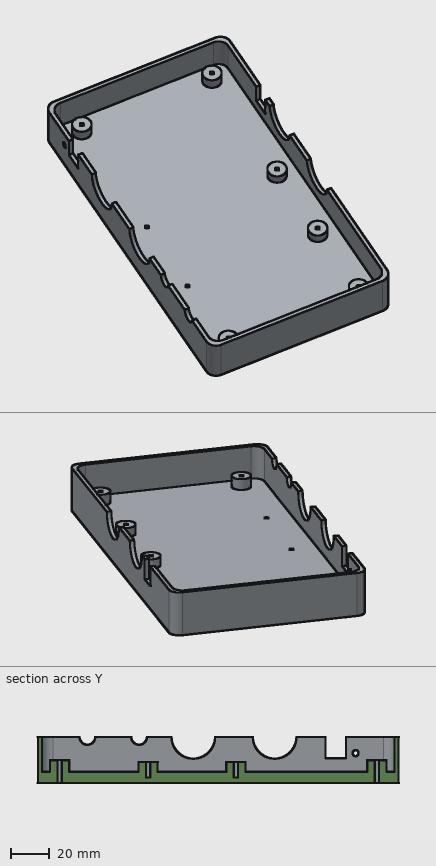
import cadquery as cq

LENGTH = 187.8
WIDTH = 106.0
HEIGHT = 24.0
CORNER_RADIUS = 5.6
WALL = 2.5
FLOOR = 6.0

POST_DIAMETER = 10.1
CORNER_POST_HEIGHT = 6.0
INNER_POST_HEIGHT = 5.0
SCREW_DIAMETER = 2.0
BLIND_HOLE_BOTTOM = 3.0
CORNER_POST_X = 82.5
BACK_ROW_Y = 39.3
FRONT_ROW_Y = -37.0
INNER_SCREW_X = (-9.2, 36.5)

JACK_RADIUS = 11.3
FRONT_JACK_X = (-29.3, 13.0)
BACK_JACK_X = (-28.0, 13.9)
BACK_JACK_RISE = 0.8
FRONT_SLOT_WIDTH = 10.5
BACK_SLOT_WIDTH = 10.1
SLOT_DEPTH = 11.0
FRONT_SLOT_X = -61.0
BACK_SLOT_X = -49.2
LED_RADIUS = 8.0 / 2
LED_X = (41.1, 68.0)
PIN_HOLE_RADIUS = 1.5
PIN_HOLE_X = -71.4
PIN_HOLE_Z = 15.5

CUT_LENGTH = 2 * WALL
FRONT_WALL_Y = -(WIDTH - WALL) / 2
BACK_WALL_Y = -FRONT_WALL_Y


def rounded_block(length, width, height, radius, bottom):
    block = cq.Workplane("XY").box(length, width, height, centered=(True, True, False))
    return block.edges("|Z").fillet(radius).translate((0, 0, bottom))


def round_wall_cut(x, wall_y, z, radius):
    start = cq.Vector(x, wall_y - CUT_LENGTH / 2, z)
    return cq.Workplane(cq.Solid.makeCylinder(radius, CUT_LENGTH, start, cq.Vector(0, 1, 0)))


def slot_cut(x, wall_y, width):
    slot = cq.Workplane("XY").box(width, CUT_LENGTH, 2 * SLOT_DEPTH)
    return slot.translate((x, wall_y, HEIGHT))


def tray():
    shell = rounded_block(LENGTH, WIDTH, HEIGHT, CORNER_RADIUS, 0)
    cavity = rounded_block(LENGTH - 2 * WALL, WIDTH - 2 * WALL, HEIGHT, CORNER_RADIUS, FLOOR)
    return shell.cut(cavity)


def posts(points, height):
    return cq.Workplane("XY").pushPoints(points).circle(POST_DIAMETER / 2).extrude(FLOOR + height)


def add_posts(body):
    corner_points = [(x, y) for x in (-CORNER_POST_X, CORNER_POST_X) for y in (FRONT_ROW_Y, BACK_ROW_Y)]
    inner_post_points = [(x, BACK_ROW_Y) for x in INNER_SCREW_X]
    blind_points = [(x, y) for x in INNER_SCREW_X for y in (FRONT_ROW_Y, BACK_ROW_Y)]
    body = body.union(posts(corner_points, CORNER_POST_HEIGHT))
    body = body.union(posts(inner_post_points, INNER_POST_HEIGHT))
    through_holes = cq.Workplane("XY").pushPoints(corner_points)
    body = body.cut(through_holes.circle(SCREW_DIAMETER / 2).extrude(HEIGHT))
    blind_holes = cq.Workplane("XY").workplane(offset=BLIND_HOLE_BOTTOM).pushPoints(blind_points)
    return body.cut(blind_holes.circle(SCREW_DIAMETER / 2).extrude(HEIGHT))


def cut_front_wall(body):
    for x in FRONT_JACK_X:
        body = body.cut(round_wall_cut(x, FRONT_WALL_Y, HEIGHT, JACK_RADIUS))
    for x in LED_X:
        body = body.cut(round_wall_cut(x, FRONT_WALL_Y, HEIGHT, LED_RADIUS))
    body = body.cut(round_wall_cut(PIN_HOLE_X, FRONT_WALL_Y, PIN_HOLE_Z, PIN_HOLE_RADIUS))
    return body.cut(slot_cut(FRONT_SLOT_X, FRONT_WALL_Y, FRONT_SLOT_WIDTH))


def cut_back_wall(body):
    for x in BACK_JACK_X:
        body = body.cut(round_wall_cut(x, BACK_WALL_Y, HEIGHT + BACK_JACK_RISE, JACK_RADIUS))
    return body.cut(slot_cut(BACK_SLOT_X, BACK_WALL_Y, BACK_SLOT_WIDTH))


result = cut_back_wall(cut_front_wall(add_posts(tray())))